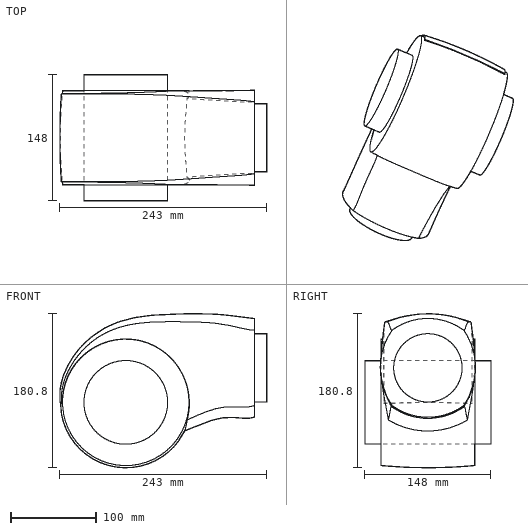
import cadquery as cq
import math


HUB_FACE_RADIUS = 74.0
HUB_CROWN_RADIUS = 76.8
HUB_HALF_WIDTH = 55.2
PIN_RADIUS = 49.0
PIN_LENGTH = 148.0

MOUTH_X = 151.0
MOUTH_TOP_Z = 98.5
MOUTH_BOTTOM_Z = -17.5
MOUTH_CENTER_Z = (MOUTH_TOP_Z + MOUTH_BOTTOM_Z) / 2
STUB_RADIUS = 40.0
STUB_LENGTH = 14.5

ELBOW_SECTIONS = [
    ((-77.3, 0.0), (19.5, -48.5), 2.0, 7.3, 51.5, 51.5, 54.2),
    ((-73.5, 30.4), (28.0, -46.7), 3.2, 7.8, 51.5, 51.3, 54.5),
    ((-58.3, 58.8), (36.5, -43.7), 4.4, 8.5, 51.5, 51.0, 54.5),
    ((-12.6, 92.8), (53.5, -38.9), 6.3, 9.7, 51.3, 49.8, 54.5),
    ((34.7, 102.5), (73.0, -32.0), 8.5, 11.0, 50.3, 46.7, 54.7),
    ((77.8, 104.0), (98.5, -21.9), 9.7, 12.0, 47.9, 44.2, 55.2),
    ((116.6, 102.5), (125.1, -17.7), 11.7, 12.6, 45.2, 42.8, 55.5),
    ((MOUTH_X, MOUTH_TOP_Z), (MOUTH_X, MOUTH_BOTTOM_Z), 13.8, 13.8, 42.0, 42.0, 56.0),
]


def make_hub():
    """Barrel with flat faces and a slightly crowned rim."""
    profile = (
        cq.Workplane("XY")
        .moveTo(0, -HUB_HALF_WIDTH)
        .lineTo(HUB_FACE_RADIUS, -HUB_HALF_WIDTH)
        .threePointArc((HUB_CROWN_RADIUS, 0), (HUB_FACE_RADIUS, HUB_HALF_WIDTH))
        .lineTo(0, HUB_HALF_WIDTH)
        .close()
    )
    return profile.revolve(360, (0, 0, 0), (0, 1, 0))


def section_wire(outer, inner, outer_inset, inner_inset, outer_width, inner_width, side_width):
    """Four-arc closed outline in the plane through the outer and inner points, parallel to Y."""
    height = math.dist(outer, inner)

    def point(depth, y):
        x = outer[0] + (inner[0] - outer[0]) * depth / height
        z = outer[1] + (inner[1] - outer[1]) * depth / height
        return cq.Vector(x, y, z)

    inner_depth = height - inner_inset
    side_depth = (outer_inset + inner_depth) / 2
    outer_left = point(outer_inset, -outer_width)
    outer_right = point(outer_inset, outer_width)
    inner_left = point(inner_depth, -inner_width)
    inner_right = point(inner_depth, inner_width)
    arc = cq.Edge.makeThreePointArc
    return cq.Wire.assembleEdges([
        arc(outer_left, point(0, 0), outer_right),
        arc(outer_right, point(side_depth, side_width), inner_right),
        arc(inner_right, point(height, 0), inner_left),
        arc(inner_left, point(side_depth, -side_width), outer_left),
    ])


def make_elbow():
    """Smooth loft that fans out from inside the hub to the mouth."""
    return cq.Workplane(cq.Solid.makeLoft([section_wire(*section) for section in ELBOW_SECTIONS]))


def make_pin():
    """Cylinder through the hub, standing out at both faces."""
    return cq.Workplane("XZ").circle(PIN_RADIUS).extrude(PIN_LENGTH / 2, both=True)


def make_housing(pin):
    """Hub and elbow in one piece, bored through for the pin."""
    return make_hub().union(make_elbow()).cut(pin)


def make_stub():
    """Disc seated on the flat mouth face."""
    return (
        cq.Workplane("YZ", origin=(MOUTH_X, 0, MOUTH_CENTER_Z))
        .circle(STUB_RADIUS)
        .extrude(STUB_LENGTH)
    )


pin = make_pin()
housing = make_housing(pin)
stub = make_stub()

result = cq.Compound.makeCompound([housing.val(), pin.val(), stub.val()])